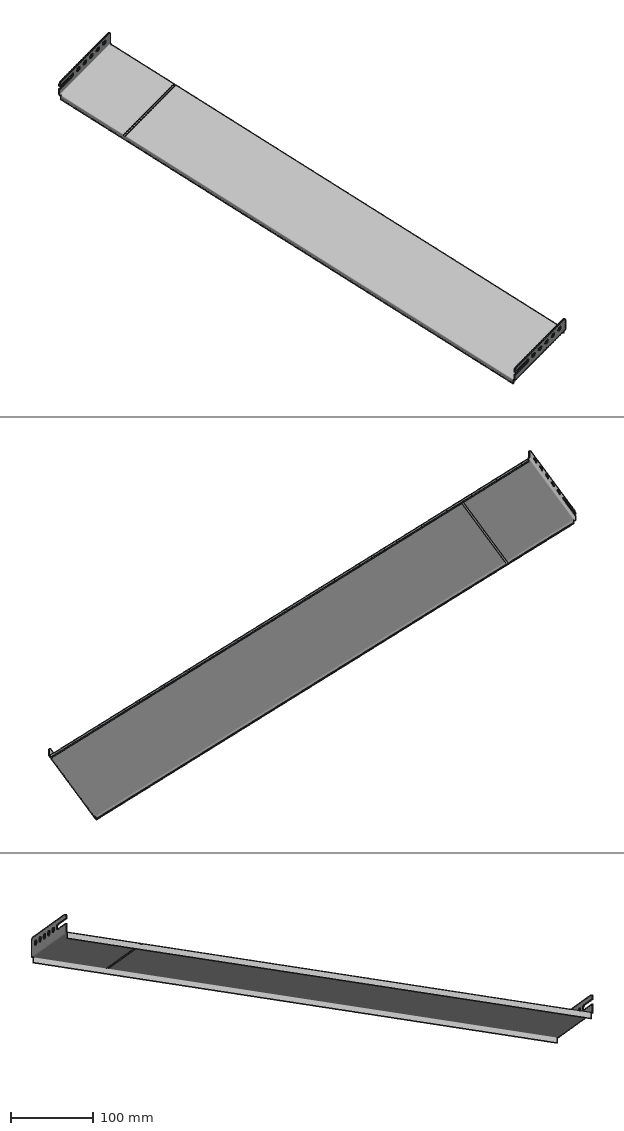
import cadquery as cq

length = 706.0
width = 100.0
height = 31.5

sheet = 1.5
left_face = -length / 2
right_face = length / 2
floor_top = 8.0
floor_bottom = floor_top - sheet

flange_inner_bend = 0.8
flange_outer_bend = flange_inner_bend + sheet
lip_inner_bend = 0.3
lip_outer_bend = 1.0
lip_end_gap = 2.5

corner_radius = 4.5
hole_diameter = 6.5
hole_radius = hole_diameter / 2
hole_count = 5
hole_pitch = 12.7
hole_edge_distance = 12.2
first_hole_y = width / 2 - hole_edge_distance
hole_top_distance = 9.5
hole_z = height - hole_top_distance
slot_centre_y = first_hole_y - hole_count * hole_pitch

groove_offset = 100.0
groove_width = 2.5
groove_depth = 1.0


def block(x_range, y_range, z_range):
    """Axis-aligned box given by its limits along each axis."""
    (x0, x1), (y0, y1), (z0, z1) = x_range, y_range, z_range
    return cq.Workplane("XY", origin=(x0, y0, z0)).box(x1 - x0, y1 - y0, z1 - z0, centered=False)


def full_width(inset=0.0):
    return (-width / 2 + inset, width / 2 - inset)


def lip_span():
    """X limits of the side lips, short of both end flanges."""
    return (left_face + lip_end_gap, right_face - lip_end_gap)


def rounded_lip_block():
    """Solid block whose long upper edges carry the outer bend of the side lips."""
    return block(lip_span(), full_width(), (0, floor_top)).edges("|X and >Z").fillet(lip_outer_bend)


def end_channel():
    """Floor with both end flanges folded up, long floor edges rounded along the side lips."""
    outside = block((left_face, right_face), full_width(), (floor_bottom, height))
    outside = outside.edges("|Y and <Z").fillet(flange_outer_bend)
    inside = block((left_face + sheet, right_face - sheet), full_width(), (floor_top, height))
    inside = inside.edges("|Y and <Z").fillet(flange_inner_bend)
    channel = outside.cut(inside).edges("|X and >Z").fillet(corner_radius)
    edge_waste = block(lip_span(), full_width(), (floor_bottom, floor_top)).cut(rounded_lip_block())
    return channel.cut(edge_waste)


def side_channel():
    """Floor with both side lips folded down."""
    inside = block(lip_span(), full_width(sheet), (0, floor_bottom))
    return rounded_lip_block().cut(inside.edges("|X and >Z").fillet(lip_inner_bend))


def flange_holes():
    """Row of round holes through both end flanges."""
    centres = [(first_hole_y - i * hole_pitch, hole_z) for i in range(hole_count)]
    plane = cq.Workplane("YZ", origin=(left_face, 0, 0))
    return plane.pushPoints(centres).circle(hole_radius).extrude(length)


def open_slot():
    """Round-ended slot through both end flanges, open at the -Y edge."""
    return (
        cq.Workplane("YZ", origin=(left_face, 0, 0))
        .moveTo(-width / 2, hole_z - hole_radius)
        .lineTo(slot_centre_y, hole_z - hole_radius)
        .threePointArc((slot_centre_y + hole_radius, hole_z), (slot_centre_y, hole_z + hole_radius))
        .lineTo(-width / 2, hole_z + hole_radius)
        .close()
        .extrude(length)
    )


def floor_groove():
    start = left_face + groove_offset
    return block((start, start + groove_width), full_width(), (floor_top - groove_depth, floor_top))


result = end_channel().union(side_channel())
result = result.cut(flange_holes()).cut(open_slot()).cut(floor_groove())